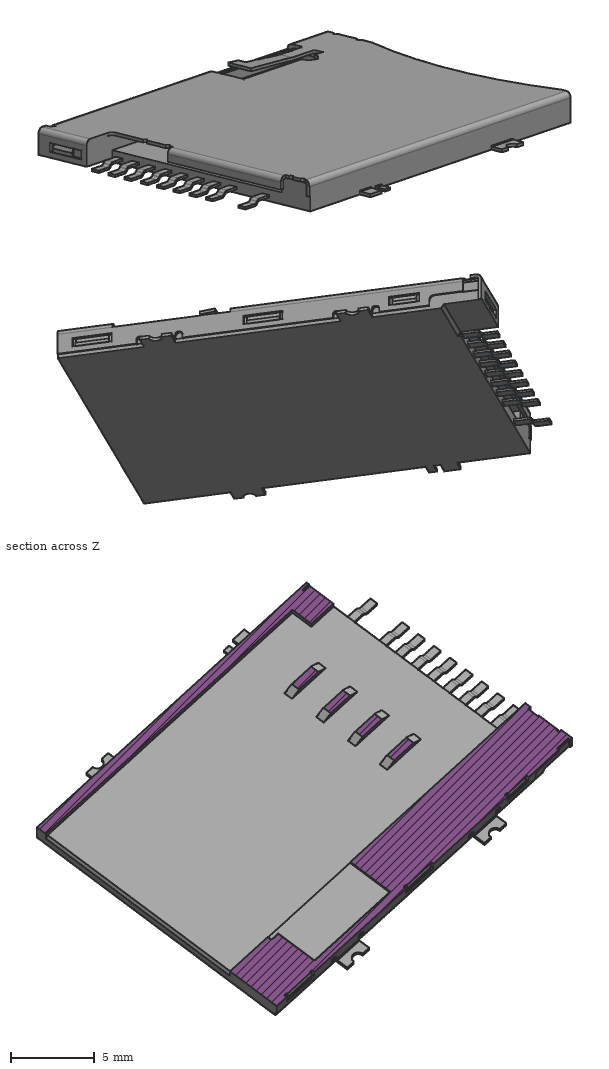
import cadquery as cq
import math


WIDTH = 19.35
DEPTH = 26.3
TOP = 1.93
SHEET = 0.2
BEND = 0.35
UNDERSIDE = TOP - SHEET
WALL_BOTTOM = 0.25
COVER_FRONT = 2.29
CORNER_RADIUS = 0.35

EXT_WIDTH = 3.79
LEFT_WALL_FRONT = 1.17
CORNER_RELIEF_FRONT = 0.7
CORNER_RELIEF_X = 0.48
CORNER_RELIEF_ROUND = 0.2
WALL_STEP_Y = 3.25
WALL_STEP_Z = 0.92

LIP_X0 = 8.6
LIP_X1 = 17.49
LIP_FRONT = 1.83
LIP_BOTTOM = 1.1

RELIEF_RADIUS = 0.15
LIP_RELIEF_GAP = 0.4
FRONT_RELIEFS_X = (6.42, LIP_X0 - LIP_RELIEF_GAP, LIP_X1 + LIP_RELIEF_GAP, 18.8)
REAR_RELIEFS_X = (0.9, 2.72)

ARC_X0 = 3.74
ARC_X1 = 18.62
ARC_DEPTH = 1.1

OPENING_Y0 = 15.59
OPENING_Y1 = 22.9
OPENING_X1 = 2.8
OPENING_WALL_TOP = 1.58
FINGER_CENTER = (2.87, 21.51)
FINGER_RADIUS = 0.57

SPRING_X0 = 1.2
SPRING_X1 = 2.13
SPRING_BEND_Y = 20.86
SPRING_END_Y = 16.7
SPRING_END_X1 = 2.45
SPRING_TAPER_Y = 20.3
SPRING_TOP = 2.28
HOOK_X = 0.63
HOOK_Y = 17.65
SPRING_ROOT_RADIUS = 0.15

WINDOW_Z0 = 0.62
WINDOW_Z1 = 1.18
LEFT_WINDOWS = ((22.94, 25.38), (12.35, 14.77), (3.87, 5.75))
FRONT_WINDOW = (0.9, 3.35)
FRONT_BUMP = (1.1, 2.6)
BUMP_MARGIN = 0.19
BUMP_Z0 = WINDOW_Z0
BUMP_SLOPE_Z0 = 0.86
BUMP_REACH = 0.15

TAB_REACH = 0.85
TAB_LENGTH = 1.95
TAB_THICKNESS = 0.2
TAB_BEND_REACH = 0.06
TAB_BEND_TOP = WALL_BOTTOM
REAR_TAB_Y = 19.98
FRONT_TAB_Y = 7.78
TAB_NOTCH_RADIUS = 0.39
TAB_SLOT_WIDTH = 0.46
TAB_SLOT_TOP = 0.7
PLAIN_TAB_Y0 = 6.9
PLAIN_TAB_Y1 = 7.92

SWITCH_Y0 = 8.35
SWITCH_Y1 = 8.84
SWITCH_REACH = 0.75
SWITCH_THICKNESS = 0.15
SWITCH_RISER_REACH = 0.13

BASE_INSET = 0.1
BASE_FRONT = 2.35
FLOOR_TOP = 0.75
LEFT_RAIL_X1 = EXT_WIDTH
RIGHT_RAIL_X0 = ARC_X1
CARD_STOP_X0 = 17.1
CARD_STOP_LENGTH = 2.0
CORNER_GAP_WIDTH = 0.1
CORNER_GAP_DEPTH = 0.5
REAR_CHAMFER = 0.17
UNDERCUT_DEPTH = 0.18
POCKET_FLOOR = 0.95
POCKET_Y1 = 22.3
POCKET_X1 = LEFT_RAIL_X1
POCKET_CORNER_X = 3.5
CORNER_POST_TOP = 1.57
CORNER_POST_X0 = 0.15
RIDGE_X0 = SHEET
RIDGE_BOTTOM = 1.3
RIDGE_CREST = 1.65
RIDGE_CREST_X0 = 0.5
RIDGE_CREST_X1 = 0.58

PITCH = 1.28
FIRST_CONTACT_X = 4.35
CONTACT_SLOTS = (0, 1, 2, 3, 4, 5, 6, 7, 9)
CONTACT_WIDTH = 0.55
CONTACT_THICKNESS = 0.15
CONTACT_LIFT = 0.25
CONTACT_TIP_Y = 0.14
CONTACT_BEND_Y0 = 0.99
CONTACT_BEND_Y1 = 1.45
CONTACT_ROOT = 0.5

SPRING_CONTACT_COUNT = 4
SPRING_CONTACT_X = 7.07
SPRING_CONTACT_WIDTH = 0.6
SPRING_CONTACT_TOP = 1.3
SPRING_CONTACT_Y0 = 6.0
SPRING_CONTACT_LENGTH = 3.0
SPRING_CONTACT_CREST = 0.6


def block(x0, x1, y0, y1, z0, z1):
    return cq.Workplane("XY").box(x1 - x0, y1 - y0, z1 - z0, centered=False).translate((x0, y0, z0))


def upright_cylinder(x, y, radius, z0, z1):
    return cq.Workplane("XY", origin=(x, y, z0)).circle(radius).extrude(z1 - z0)


def profile_along_x(points, x0, x1):
    """Extrude a (Y, Z) outline from x0 to x1."""
    return cq.Workplane("YZ", origin=(x0, 0, 0)).polyline(points).close().extrude(x1 - x0)


def profile_along_y(points, y0, y1):
    """Extrude an (X, Z) outline from y0 to y1."""
    return cq.Workplane("XZ", origin=(0, y1, 0)).polyline(points).close().extrude(y1 - y0)


def bent_edge(start, inward, length, bottom):
    """Sheet wall with its rounded bend; `start` is on the outer face, `inward` points into the shell."""
    inward_direction = cq.Vector(*inward)
    run = inward_direction.cross(cq.Vector(0, 0, 1))
    plane = cq.Plane(origin=(start[0], start[1], 0), xDir=inward, normal=run.toTuple())
    diagonal = math.sqrt(0.5)
    inner = BEND - SHEET
    center_z = TOP - BEND
    return (
        cq.Workplane(plane)
        .moveTo(BEND, TOP)
        .threePointArc((BEND - BEND * diagonal, center_z + BEND * diagonal), (0, center_z))
        .lineTo(0, bottom)
        .lineTo(SHEET, bottom)
        .lineTo(SHEET, center_z)
        .threePointArc((BEND - inner * diagonal, center_z + inner * diagonal), (BEND, UNDERSIDE))
        .close()
        .extrude(length)
    )


def cover_plate():
    lip_root = LIP_FRONT + BEND
    plate = block(BEND, WIDTH - BEND, COVER_FRONT, DEPTH, UNDERSIDE, TOP)
    plate = plate.union(block(BEND, EXT_WIDTH, BEND, COVER_FRONT, UNDERSIDE, TOP))
    plate = plate.union(block(0, BEND, BEND, LEFT_WALL_FRONT, UNDERSIDE, TOP))
    plate = plate.union(block(LIP_X0, LIP_X1, lip_root, COVER_FRONT, UNDERSIDE, TOP))
    corner_x = EXT_WIDTH + CORNER_RADIUS
    corner_y = COVER_FRONT - CORNER_RADIUS
    web = block(EXT_WIDTH, corner_x, corner_y, COVER_FRONT, UNDERSIDE, TOP)
    plate = plate.union(web.cut(upright_cylinder(corner_x, corner_y, CORNER_RADIUS, UNDERSIDE, TOP)))
    rear_arc = (
        cq.Workplane("XY", origin=(0, 0, UNDERSIDE))
        .moveTo(ARC_X0, DEPTH)
        .threePointArc(((ARC_X0 + ARC_X1) / 2, DEPTH - ARC_DEPTH), (ARC_X1, DEPTH))
        .close()
        .extrude(SHEET)
    )
    plate = plate.cut(rear_arc)
    for x in FRONT_RELIEFS_X:
        plate = plate.cut(upright_cylinder(x, COVER_FRONT, RELIEF_RADIUS, UNDERSIDE, TOP))
    for x in REAR_RELIEFS_X:
        plate = plate.cut(upright_cylinder(x, DEPTH, RELIEF_RADIUS, UNDERSIDE, TOP))
    return plate


def tab_slots(tab_y):
    """Round-topped slots in the left wall on both sides of a solder tab."""
    slots = cq.Workplane("XY")
    radius = TAB_SLOT_WIDTH / 2
    offset = (TAB_LENGTH + TAB_SLOT_WIDTH) / 2
    for y in (tab_y - offset, tab_y + offset):
        slots = slots.union(block(0, SHEET, y - radius, y + radius, WALL_BOTTOM, TAB_SLOT_TOP - radius))
        round_top = cq.Workplane("YZ").center(y, TAB_SLOT_TOP - radius).circle(radius).extrude(SHEET)
        slots = slots.union(round_top)
    return slots


def left_wall():
    wall = bent_edge((0, DEPTH), (1, 0, 0), DEPTH - LEFT_WALL_FRONT, WALL_BOTTOM)
    step = block(0, SHEET, LEFT_WALL_FRONT, WALL_STEP_Y, WALL_BOTTOM, WALL_STEP_Z)
    step = step.edges("|X and >Y and >Z").fillet(CORNER_RADIUS)
    wall = wall.cut(step)
    for y0, y1 in LEFT_WINDOWS:
        wall = wall.cut(block(0, SHEET, y0, y1, WINDOW_Z0, WINDOW_Z1))
    for tab_y in (REAR_TAB_Y, FRONT_TAB_Y):
        wall = wall.cut(tab_slots(tab_y))
    return wall


def right_wall():
    wall = bent_edge((WIDTH, COVER_FRONT), (-1, 0, 0), DEPTH - COVER_FRONT, WALL_BOTTOM)
    return wall.cut(block(WIDTH - SHEET, WIDTH, COVER_FRONT, WALL_STEP_Y, WALL_BOTTOM, WALL_STEP_Z))


def extension_front():
    wall = bent_edge((0, 0), (0, 1, 0), EXT_WIDTH, WALL_BOTTOM)
    return wall.cut(block(*FRONT_WINDOW, 0, SHEET, WINDOW_Z0, WINDOW_Z1))


def latch_opening():
    opening = block(0, OPENING_X1, OPENING_Y0, OPENING_Y1, OPENING_WALL_TOP, TOP)
    return opening.union(upright_cylinder(*FINGER_CENTER, FINGER_RADIUS, UNDERSIDE, TOP))


def corner_relief():
    """Slot with rounded end corners at the front corner of the left wall."""
    slot = block(0, CORNER_RELIEF_X, CORNER_RELIEF_FRONT, LEFT_WALL_FRONT, UNDERSIDE, TOP)
    return slot.edges("|Z and >X").fillet(CORNER_RELIEF_ROUND)


def latch_spring():
    root = SPRING_ROOT_RADIUS
    outline = (
        cq.Workplane("XY")
        .moveTo(SPRING_X0 - root, OPENING_Y1)
        .radiusArc((SPRING_X0, OPENING_Y1 - root), root)
        .lineTo(SPRING_X0, HOOK_Y)
        .lineTo(HOOK_X, HOOK_Y)
        .lineTo(HOOK_X, SPRING_END_Y)
        .lineTo(SPRING_END_X1, SPRING_END_Y)
        .lineTo(SPRING_X1, SPRING_TAPER_Y)
        .lineTo(SPRING_X1, OPENING_Y1 - root)
        .radiusArc((SPRING_X1 + root, OPENING_Y1), root)
        .close()
        .extrude(SPRING_TOP)
    )
    side = [
        (OPENING_Y1, TOP),
        (SPRING_BEND_Y, TOP),
        (SPRING_END_Y, SPRING_TOP),
        (SPRING_END_Y, SPRING_TOP - SHEET),
        (SPRING_BEND_Y, UNDERSIDE),
        (OPENING_Y1, UNDERSIDE),
    ]
    return outline.intersect(profile_along_x(side, 0, OPENING_X1))


def shell():
    body = cover_plate()
    body = body.union(left_wall())
    body = body.union(right_wall())
    body = body.union(extension_front())
    body = body.union(bent_edge((LIP_X0, LIP_FRONT), (0, 1, 0), LIP_X1 - LIP_X0, LIP_BOTTOM))
    body = body.cut(latch_opening()).cut(corner_relief())
    return body.union(latch_spring())


def tab_bend(y0, y1, on_left):
    """Thickened root where a solder tab turns up into the shell wall."""
    if on_left:
        return block(-TAB_BEND_REACH, SHEET, y0, y1, 0, TAB_BEND_TOP)
    return block(WIDTH - SHEET, WIDTH + TAB_BEND_REACH, y0, y1, 0, TAB_BEND_TOP)


def solder_tabs():
    half = TAB_LENGTH / 2
    tabs = block(WIDTH - SHEET, WIDTH + TAB_REACH, PLAIN_TAB_Y0, PLAIN_TAB_Y1, 0, TAB_THICKNESS)
    tabs = tabs.union(tab_bend(PLAIN_TAB_Y0, PLAIN_TAB_Y1, on_left=False))
    for outer_x, inner_x, y in (
        (-TAB_REACH, SHEET, REAR_TAB_Y),
        (-TAB_REACH, SHEET, FRONT_TAB_Y),
        (WIDTH + TAB_REACH, WIDTH - SHEET, REAR_TAB_Y),
    ):
        x0, x1 = sorted((outer_x, inner_x))
        tab = block(x0, x1, y - half, y + half, 0, TAB_THICKNESS)
        tab = tab.union(tab_bend(y - half, y + half, outer_x < 0))
        tabs = tabs.union(tab.cut(upright_cylinder(outer_x, y, TAB_NOTCH_RADIUS, 0, TAB_THICKNESS)))
    return tabs


def switch_terminal():
    x0 = WIDTH - SHEET
    foot = block(x0, WIDTH + SWITCH_REACH, SWITCH_Y0, SWITCH_Y1, 0, SWITCH_THICKNESS)
    return foot.union(block(x0, WIDTH + SWITCH_RISER_REACH, SWITCH_Y0, SWITCH_Y1, 0, TAB_THICKNESS))


def latch_bumps():
    """Bumps on the base inside the shell windows, sloping outwards and down to a short upright face."""
    outer = SHEET - BUMP_REACH
    bump_profile = [(SHEET, WINDOW_Z1), (outer, BUMP_SLOPE_Z0), (outer, BUMP_Z0), (SHEET, BUMP_Z0)]
    bumps = profile_along_x(bump_profile, *FRONT_BUMP)
    for y0, y1 in LEFT_WINDOWS:
        bumps = bumps.union(profile_along_y(bump_profile, y0 + BUMP_MARGIN, y1 - BUMP_MARGIN))
    return bumps


def latch_ridge():
    """Rail edge that slopes up from the lowered wall beside the latch opening."""
    ridge = [
        (RIDGE_X0, RIDGE_BOTTOM),
        (RIDGE_CREST_X0, RIDGE_CREST),
        (RIDGE_CREST_X1, RIDGE_CREST),
        (RIDGE_CREST_X1, POCKET_FLOOR),
        (RIDGE_X0, POCKET_FLOOR),
    ]
    return profile_along_y(ridge, OPENING_Y0, OPENING_Y1)


def base():
    rail_right = WIDTH - SHEET
    floor = [
        (BASE_FRONT, 0),
        (BASE_FRONT, FLOOR_TOP),
        (DEPTH - REAR_CHAMFER, FLOOR_TOP),
        (DEPTH, FLOOR_TOP - REAR_CHAMFER),
        (DEPTH, 0),
    ]
    body = profile_along_x(floor, SHEET, rail_right)
    body = body.union(block(BASE_INSET, WIDTH, BASE_FRONT, DEPTH, 0, WALL_BOTTOM))
    undercut = [(BASE_FRONT, 0), (BASE_FRONT + UNDERCUT_DEPTH, 0), (BASE_FRONT, WALL_BOTTOM)]
    body = body.cut(profile_along_x(undercut, 0, EXT_WIDTH))
    left_rail = block(SHEET, LEFT_RAIL_X1, SHEET, DEPTH, WALL_BOTTOM, UNDERSIDE)
    left_rail = left_rail.cut(
        block(RIDGE_X0, RIDGE_CREST_X1, OPENING_Y0, OPENING_Y1, POCKET_FLOOR, UNDERSIDE)
    )
    left_rail = left_rail.cut(
        block(RIDGE_CREST_X1, POCKET_X1, OPENING_Y0, POCKET_Y1, POCKET_FLOOR, UNDERSIDE)
    )
    left_rail = left_rail.cut(
        block(POCKET_CORNER_X, POCKET_X1, POCKET_Y1, OPENING_Y1, POCKET_FLOOR, UNDERSIDE)
    )
    body = body.union(left_rail)
    body = body.union(block(BASE_INSET, SHEET, SHEET, WALL_STEP_Y, WALL_BOTTOM, WALL_STEP_Z))
    body = body.union(block(CORNER_POST_X0, SHEET, SHEET, LEFT_WALL_FRONT, WALL_STEP_Z, CORNER_POST_TOP))
    body = body.union(block(RIGHT_RAIL_X0, rail_right, BASE_FRONT, DEPTH, WALL_BOTTOM, UNDERSIDE))
    stop_back = BASE_FRONT + CARD_STOP_LENGTH
    body = body.union(block(CARD_STOP_X0, rail_right, BASE_FRONT, stop_back, WALL_BOTTOM, UNDERSIDE))
    gap_x0 = rail_right - CORNER_GAP_WIDTH
    gap_back = BASE_FRONT + CORNER_GAP_DEPTH
    body = body.cut(block(gap_x0, rail_right, BASE_FRONT, gap_back, WALL_STEP_Z, UNDERSIDE))
    body = body.union(block(rail_right, WIDTH, BASE_FRONT, WALL_STEP_Y, WALL_BOTTOM, WALL_STEP_Z))
    return body.union(latch_bumps()).union(latch_ridge())


def contacts():
    """Row of solder contacts, each stepping down to its foot in an S-bend of two equal arcs."""
    run = (CONTACT_BEND_Y1 - CONTACT_BEND_Y0) / 2
    drop = CONTACT_LIFT / 2
    bend_radius = (run**2 + drop**2) / (2 * drop)
    middle_y = CONTACT_BEND_Y0 + run
    lifted_top = CONTACT_LIFT + CONTACT_THICKNESS
    root_y = BASE_FRONT + CONTACT_ROOT
    row = cq.Workplane("XY")
    for slot in CONTACT_SLOTS:
        x0 = FIRST_CONTACT_X + slot * PITCH - CONTACT_WIDTH / 2
        contact = (
            cq.Workplane("YZ", origin=(x0, 0, 0))
            .moveTo(CONTACT_TIP_Y, 0)
            .lineTo(CONTACT_TIP_Y, CONTACT_THICKNESS)
            .lineTo(CONTACT_BEND_Y0, CONTACT_THICKNESS)
            .radiusArc((middle_y, CONTACT_THICKNESS + drop), -bend_radius)
            .radiusArc((CONTACT_BEND_Y1, lifted_top), bend_radius)
            .lineTo(root_y, lifted_top)
            .lineTo(root_y, CONTACT_LIFT)
            .lineTo(CONTACT_BEND_Y1, CONTACT_LIFT)
            .radiusArc((middle_y, drop), -bend_radius)
            .radiusArc((CONTACT_BEND_Y0, 0), bend_radius)
            .close()
            .extrude(CONTACT_WIDTH)
        )
        row = row.union(contact)
    return row


def spring_contacts():
    y0 = SPRING_CONTACT_Y0
    y1 = y0 + SPRING_CONTACT_LENGTH
    middle = (y0 + y1) / 2
    half_crest = SPRING_CONTACT_CREST / 2
    profile = [
        (y0, FLOOR_TOP),
        (middle - half_crest, SPRING_CONTACT_TOP),
        (middle + half_crest, SPRING_CONTACT_TOP),
        (y1, FLOOR_TOP),
    ]
    row = cq.Workplane("XY")
    for index in range(SPRING_CONTACT_COUNT):
        x0 = SPRING_CONTACT_X + index * 2 * PITCH - SPRING_CONTACT_WIDTH / 2
        row = row.union(profile_along_x(profile, x0, x0 + SPRING_CONTACT_WIDTH))
    return row


result = (
    base()
    .union(shell())
    .union(solder_tabs())
    .union(switch_terminal())
    .union(contacts())
    .union(spring_contacts())
)